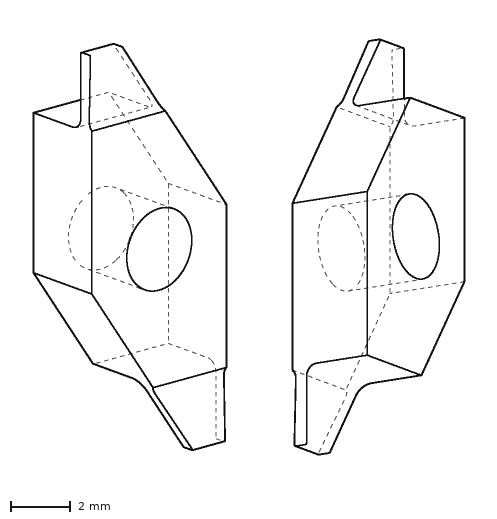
import cadquery as cq
import math

thickness = 3.0
width = 6.0
height = 15.0
half_thickness = thickness / 2
half_width = width / 2
half_height = height / 2

tip_width = 1.42
slant_end_height = 0.93

blade_back = 2.43
blade_front_at_root = 2.86
blade_front_at_tip = 2.92
tip_radius = 0.06

shoulder_height = 4.74
shoulder_fillet = 0.4

hole_diameter = 2.9


def make_plate():
    """Six-sided plate, symmetric under a half turn about X."""
    tip_corner = tip_width - half_width
    return (
        cq.Workplane("YZ", origin=(-half_thickness, 0, 0))
        .moveTo(-half_width, half_height)
        .lineTo(tip_corner, half_height)
        .lineTo(half_width, slant_end_height)
        .lineTo(half_width, -half_height)
        .lineTo(-tip_corner, -half_height)
        .lineTo(-half_width, -slant_end_height)
        .close()
        .extrude(thickness)
    )


def make_upper_profile():
    """Upper half of the XZ section: body, filleted shoulder, tapered blade and curved relief."""
    back = blade_back - half_thickness
    root = blade_front_at_root - half_thickness
    tip = blade_front_at_tip - half_thickness
    fillet_top = shoulder_height + shoulder_fillet
    relief_center_x = root + shoulder_fillet
    relief_drop = math.sqrt(shoulder_fillet**2 - (relief_center_x - half_thickness) ** 2)
    return (
        cq.Workplane("XZ", origin=(0, half_width, 0))
        .moveTo(-half_thickness, 0)
        .lineTo(-half_thickness, shoulder_height)
        .lineTo(back - shoulder_fillet, shoulder_height)
        .radiusArc((back, fillet_top), -shoulder_fillet)
        .lineTo(back, half_height - tip_radius)
        .radiusArc((back + tip_radius, half_height), tip_radius)
        .lineTo(tip - tip_radius, half_height)
        .radiusArc((tip, half_height - tip_radius), tip_radius)
        .lineTo(root, fillet_top)
        .radiusArc((half_thickness, fillet_top - relief_drop), -shoulder_fillet)
        .lineTo(half_thickness, 0)
        .close()
        .extrude(width)
    )


upper_profile = make_upper_profile()
section = upper_profile.union(upper_profile.mirror("XY"))
body = section.intersect(make_plate())

hole = (
    cq.Workplane("YZ", origin=(-half_thickness, 0, 0))
    .circle(hole_diameter / 2)
    .extrude(thickness)
)
result = body.cut(hole)